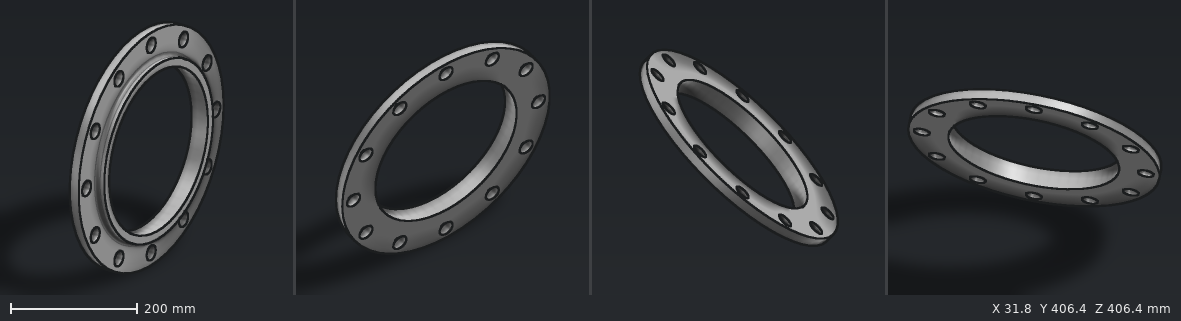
import cadquery as cq

overall_length = 31.75
flange_diameter = 406.4
plate_thickness = 17.46
hub_diameter = 304.8
bore_diameter = 276.2
hub_fillet_radius = 6.35

bolt_hole_count = 12
bolt_circle_diameter = 361.95
bolt_hole_diameter = 25.4


def disc(diameter, length):
    """Solid disc from X = 0 along +X."""
    return cq.Workplane("YZ").circle(diameter / 2).extrude(length)


def plate_with_hub():
    """Bolting plate and raised hub, blended by a fillet at the hub root."""
    body = disc(flange_diameter, plate_thickness).union(disc(hub_diameter, overall_length))
    hub_root = cq.selectors.RadiusNthSelector(0)
    return body.faces("<X[1]").edges("%CIRCLE").edges(hub_root).fillet(hub_fillet_radius)


def bolt_holes():
    """Through holes evenly spaced on the bolt circle."""
    return (
        cq.Workplane("YZ")
        .polarArray(bolt_circle_diameter / 2, 0, 360, bolt_hole_count)
        .circle(bolt_hole_diameter / 2)
        .extrude(plate_thickness)
    )


result = plate_with_hub().cut(disc(bore_diameter, overall_length)).cut(bolt_holes())